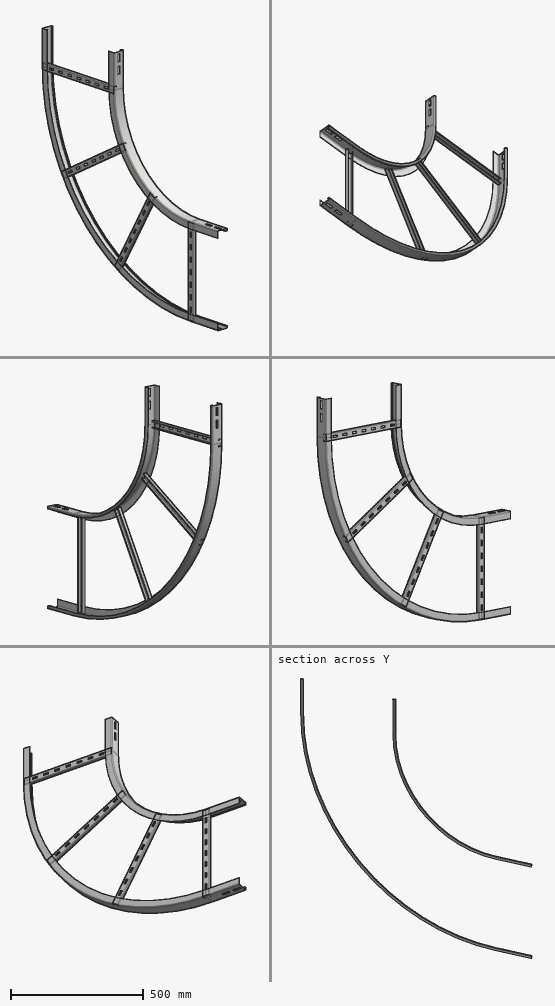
import cadquery as cq
import math

overall_size = 970.0
arm_length = 150.0
outer_radius = overall_size - arm_length
rail_spacing = 400.0
inner_radius = outer_radius - rail_spacing

rail_height = 50.0
sheet = 1.5
bend_radius = 4.0
front_flange = 30.0
rear_flange = 12.0
rear_lip = 10.0
front_y = -rail_height / 2
rear_y = rail_height / 2

arm_slot_length = 30.0
arm_slot_width = 9.0
arm_slot_pitch = 49.0
arm_slot_end_distance = 25.0
arm_slot_count = 2

rung_count = 4
rung_step_angle = 90 / (rung_count - 1)
rung_width = 30.0
rung_depth = 15.0
rung_lip = 5.0
rung_bend_radius = 2.4
rung_end_gap = 0.5
rung_front_y = front_y + sheet
rung_slot_count = 7
rung_slot_span = 300.0
rung_slot_shift = 2.4
rung_slot_length = 20.0
rung_slot_width = 7.0


def rail_section(web_radius, inward):
    """Rail section in the XY plane; inward is +1 if the flanges point at the bend axis, else -1."""
    bend_inside = bend_radius - sheet
    diagonal = math.sqrt(0.5)

    def at(depth, y):
        return (-web_radius + inward * depth, y)

    def arc_middle(depth, y, radius, depth_side, y_side):
        return at(depth + depth_side * radius * diagonal, y + y_side * radius * diagonal)

    near = bend_radius
    far = rear_flange - bend_radius
    low = front_y + bend_radius
    high = rear_y - bend_radius
    return (
        cq.Workplane("XY")
        .moveTo(*at(front_flange, front_y))
        .lineTo(*at(near, front_y))
        .threePointArc(arc_middle(near, low, bend_radius, -1, -1), at(0, low))
        .lineTo(*at(0, high))
        .threePointArc(arc_middle(near, high, bend_radius, -1, 1), at(near, rear_y))
        .lineTo(*at(far, rear_y))
        .threePointArc(arc_middle(far, high, bend_radius, 1, 1), at(rear_flange, high))
        .lineTo(*at(rear_flange, rear_y - rear_lip))
        .lineTo(*at(rear_flange - sheet, rear_y - rear_lip))
        .lineTo(*at(rear_flange - sheet, high))
        .threePointArc(arc_middle(far, high, bend_inside, 1, 1), at(far, rear_y - sheet))
        .lineTo(*at(near, rear_y - sheet))
        .threePointArc(arc_middle(near, high, bend_inside, -1, 1), at(sheet, high))
        .lineTo(*at(sheet, low))
        .threePointArc(arc_middle(near, low, bend_inside, -1, -1), at(near, front_y + sheet))
        .lineTo(*at(front_flange, front_y + sheet))
        .close()
    )


def arm_slots(web_radius):
    """Cutters for the web slots of the arm that runs up along Z."""
    first_z = arm_length - arm_slot_end_distance
    centers = [(0, first_z - i * arm_slot_pitch) for i in range(arm_slot_count)]
    return (
        cq.Workplane("YZ", origin=(-web_radius, 0, 0))
        .pushPoints(centers)
        .rect(arm_slot_width, arm_slot_length)
        .extrude(bend_radius, both=True)
    )


def make_rail(web_radius, inward):
    """Quarter bend from -X to -Z with a slotted straight arm at each end."""
    bend = rail_section(web_radius, inward).revolve(90, (0, 0), (0, -1))
    upright_arm = rail_section(web_radius, inward).extrude(arm_length).cut(arm_slots(web_radius))
    level_arm = upright_arm.mirror("XY").rotate((0, 0, 0), (0, 1, 0), -90)
    return bend.union(upright_arm, clean=False).union(level_arm, clean=False)


def make_rung(slot_shift):
    """Lipped channel along X between the rail bends; its slot row is slot_shift off the middle."""
    length = rail_spacing - 2 * (bend_radius + rung_end_gap)
    middle_x = -(outer_radius + inner_radius) / 2
    middle_y = rung_front_y + rung_depth / 2
    outside = (
        cq.Workplane("XY")
        .box(length, rung_depth, rung_width)
        .edges("|X")
        .fillet(rung_bend_radius)
    )
    inside = (
        cq.Workplane("XY")
        .box(length, rung_depth - 2 * sheet, rung_width - 2 * sheet)
        .edges("|X")
        .fillet(rung_bend_radius - sheet)
    )
    mouth = (
        cq.Workplane("XY", origin=(0, rung_depth / 2, 0))
        .box(length, rung_depth, rung_width - 2 * rung_lip)
    )
    slots = (
        cq.Workplane("XZ", origin=(slot_shift, -rung_depth / 2, 0))
        .rarray(rung_slot_span / (rung_slot_count - 1), 10, rung_slot_count, 1)
        .rect(rung_slot_length, rung_slot_width)
        .extrude(rung_depth / 2, both=True)
    )
    return outside.cut(inside).cut(mouth).cut(slots).translate((middle_x, middle_y, 0))


outer_rail = make_rail(outer_radius, 1)
inner_rail = make_rail(inner_radius, -1)

rungs = []
for i in range(rung_count):
    slot_shift = -rung_slot_shift if i == rung_count - 1 else rung_slot_shift
    rung = make_rung(slot_shift).rotate((0, 0, 0), (0, 1, 0), -i * rung_step_angle)
    rungs.append(rung.val())

result = cq.Compound.makeCompound([outer_rail.val(), inner_rail.val(), *rungs])